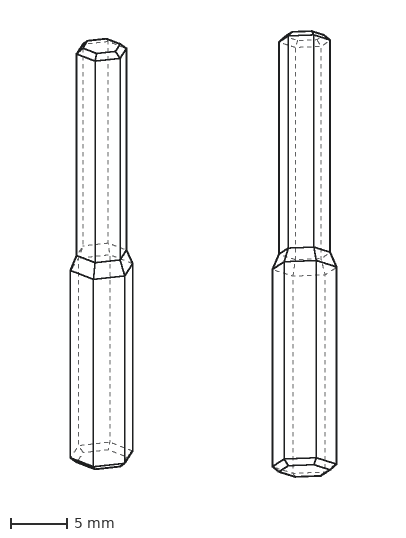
import cadquery as cq
import math

total_length = 40.0
shank_flats = 5.0
tip_flats = 4.0
tip_length = 20.0
taper_angle = 20.0
end_chamfer = 0.5

CORNERS_PER_FLATS = 2 / math.sqrt(3)


def hex_loft(bottom_flats, top_flats, bottom_z, height):
    """Hexagonal frustum with corners on the X axis."""
    return (
        cq.Workplane("XY", origin=(0, 0, bottom_z))
        .polygon(6, bottom_flats * CORNERS_PER_FLATS)
        .workplane(offset=height)
        .polygon(6, top_flats * CORNERS_PER_FLATS)
        .loft(ruled=True)
    )


tip_start = total_length - tip_length
taper_length = (shank_flats - tip_flats) / 2 / math.tan(math.radians(taper_angle))
stations = [
    (0, shank_flats - 2 * end_chamfer),
    (end_chamfer, shank_flats),
    (tip_start - taper_length, shank_flats),
    (tip_start, tip_flats),
    (total_length - end_chamfer, tip_flats),
    (total_length, tip_flats - 2 * end_chamfer),
]

result = cq.Workplane("XY")
for (low_z, low_flats), (high_z, high_flats) in zip(stations, stations[1:]):
    result = result.union(hex_loft(low_flats, high_flats, low_z, high_z - low_z))